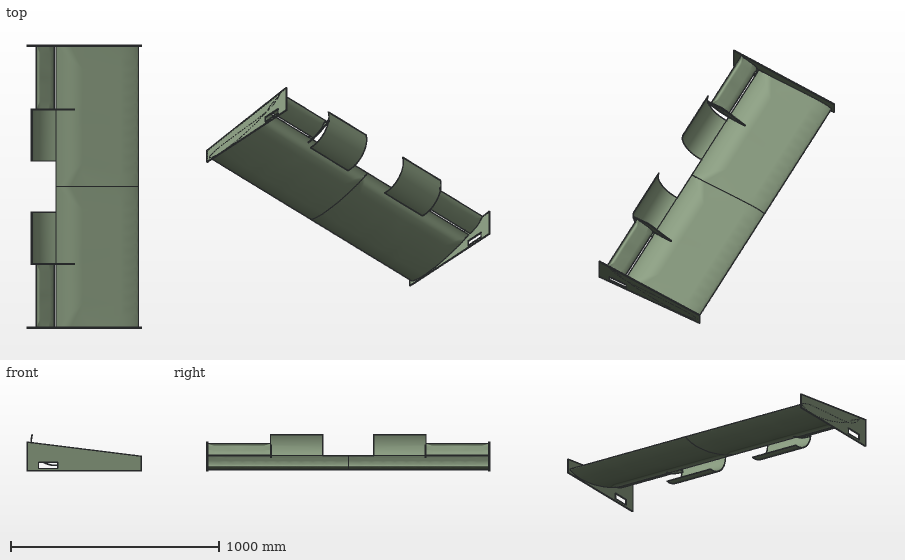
import cadquery as cq
import math

SPAN = 1360.0

PLATE_LENGTH = 550.0
PLATE_FRONT_HEIGHT = 139.0
PLATE_REAR_HEIGHT = 71.0
PLATE_THICKNESS = 5.0
SLOT_X = 56.0
SLOT_Z = 12.0
SLOT_LENGTH = 91.0
SLOT_HEIGHT = 29.0
PLATE_INNER_Y = SPAN / 2 - PLATE_THICKNESS

WING_SHARP_EDGE = (139.0, 73.0)
WING_UPPER_POINTS = [(173.0, 68.0), (268.0, 60.0), (350.0, 56.0), (452.0, 46.0), (506.0, 37.0)]
WING_NOSE = (536.0, 22.0)
WING_LOWER_POINTS = [(502.0, 10.0), (415.0, 7.0), (340.0, 15.0), (248.0, 37.0), (173.0, 60.0)]

FLAP_SHARP_EDGE = (44.0, 132.0)
FLAP_UPPER_POINTS = [(65.0, 117.0), (91.0, 106.0), (112.0, 97.0)]
FLAP_NOSE = (130.0, 76.0)
FLAP_LOWER_POINTS = [(113.0, 82.0), (90.0, 91.0), (67.0, 107.0)]

GUARD_RADIUS = 118.0
GUARD_FRONT_X = 19.0
GUARD_BOTTOM_Z = 25.0
GUARD_TOP_Z = 174.0
GUARD_REAR_X = 150.0
GUARD_THICKNESS = 3.0
GUARD_INNER_Y = 122.0
GUARD_OUTER_Y = 374.0
FIN_THICKNESS = 5.0
FIN_TOP_Z = 125.0
FIN_BEND_START_X = 99.0
FIN_BEND_MIDDLE = (133.0, 112.0)
FIN_BEND_END = (163.0, 95.0)
FIN_TIP = (228.0, 64.0)
FIN_SEAT = (177.0, 64.0)
FIN_BOTTOM_FRONT_Z = 120.0
FIN_BOTTOM_BEND = (88.0, 87.0)

GUARD_CENTER_X = GUARD_FRONT_X + GUARD_RADIUS
GUARD_CENTER_Z = GUARD_BOTTOM_Z + GUARD_RADIUS
GUARD_REAR_ANGLE = 1.5 * math.pi + math.asin((GUARD_REAR_X - GUARD_CENTER_X) / GUARD_RADIUS)


def extrude_along_y(sketch, start_y, end_y):
    """Extrude an XZ outline from start_y to end_y."""
    return sketch.extrude(start_y - end_y).translate((0, start_y, 0))


def make_end_plate():
    outline = cq.Workplane("XZ").polyline([
        (0, 0),
        (PLATE_LENGTH, 0),
        (PLATE_LENGTH, PLATE_REAR_HEIGHT),
        (0, PLATE_FRONT_HEIGHT),
    ]).close()
    plate = extrude_along_y(outline, PLATE_INNER_Y, SPAN / 2)
    slot = cq.Workplane("XY").box(SLOT_LENGTH, SPAN, SLOT_HEIGHT, centered=False)
    return plate.cut(slot.translate((SLOT_X, 0, SLOT_Z)))


def make_airfoil(sharp_edge, upper, nose, lower, start_y, end_y):
    """Extrude one smooth section that starts and ends at its sharp edge."""
    outline = (
        cq.Workplane("XZ")
        .moveTo(*sharp_edge)
        .spline(upper + [nose] + lower + [sharp_edge], includeCurrent=True)
        .close()
    )
    return extrude_along_y(outline, start_y, end_y)


def make_wing_half():
    return make_airfoil(
        WING_SHARP_EDGE, WING_UPPER_POINTS, WING_NOSE, WING_LOWER_POINTS, 0, PLATE_INNER_Y
    )


def make_flap():
    return make_airfoil(
        FLAP_SHARP_EDGE, FLAP_UPPER_POINTS, FLAP_NOSE, FLAP_LOWER_POINTS,
        GUARD_OUTER_Y, PLATE_INNER_Y,
    )


def guard_point(radius, angle):
    return (
        GUARD_CENTER_X + radius * math.cos(angle),
        GUARD_CENTER_Z + radius * math.sin(angle),
    )


def guard_front_angle(height):
    """Angle at which the front of the guard's outer arc reaches a height."""
    return math.pi - math.asin((height - GUARD_CENTER_Z) / GUARD_RADIUS)


def make_guard(wing):
    """Curved sheet and fin as one solid, with the fin cut to clear the wing."""
    top_angle = guard_front_angle(GUARD_TOP_Z)
    inner_radius = GUARD_RADIUS - GUARD_THICKNESS
    middle_angle = (top_angle + GUARD_REAR_ANGLE) / 2
    sheet_outline = (
        cq.Workplane("XZ")
        .moveTo(*guard_point(GUARD_RADIUS, top_angle))
        .threePointArc(guard_point(GUARD_RADIUS, middle_angle), guard_point(GUARD_RADIUS, GUARD_REAR_ANGLE))
        .lineTo(*guard_point(inner_radius, GUARD_REAR_ANGLE))
        .threePointArc(guard_point(inner_radius, middle_angle), guard_point(inner_radius, top_angle))
        .close()
    )
    sheet = extrude_along_y(sheet_outline, GUARD_INNER_Y, GUARD_OUTER_Y)

    top_front = guard_point(GUARD_RADIUS, guard_front_angle(FIN_TOP_Z))
    bottom_front = guard_point(GUARD_RADIUS, guard_front_angle(FIN_BOTTOM_FRONT_Z))
    fin_outline = (
        cq.Workplane("XZ")
        .moveTo(*top_front)
        .lineTo(*bottom_front)
        .lineTo(*FIN_BOTTOM_BEND)
        .lineTo(*WING_SHARP_EDGE)
        .lineTo(*FIN_SEAT)
        .lineTo(*FIN_TIP)
        .lineTo(*FIN_BEND_END)
        .threePointArc(FIN_BEND_MIDDLE, (FIN_BEND_START_X, FIN_TOP_Z))
        .close()
    )
    fin = extrude_along_y(fin_outline, GUARD_OUTER_Y - FIN_THICKNESS, GUARD_OUTER_Y)
    return sheet.union(fin).cut(wing)


wing_half = make_wing_half()
right_side_bodies = [wing_half, make_end_plate(), make_flap(), make_guard(wing_half)]

bodies = []
for body in right_side_bodies:
    bodies.extend(body.vals())
    bodies.extend(body.mirror("XZ").vals())

result = cq.Compound.makeCompound(bodies)